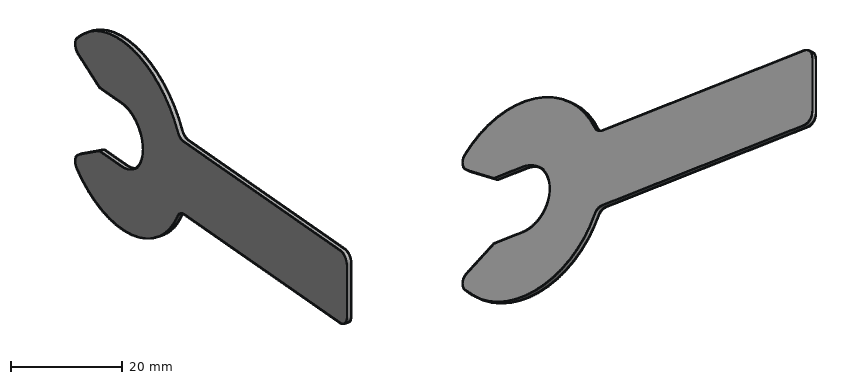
import cadquery as cq
import math

length = 84.7
thickness = 1.0
head_radius = 19.5
handle_width = 15.0
handle_corner_radius = 2.0
neck_radius = 2.0
mouth_radius = 6.5
mouth_flat_length = 6.95
flare_angle = math.radians(30)
tip_radius = 2.0

flare_offset = mouth_radius * math.cos(flare_angle) - mouth_flat_length * math.sin(flare_angle)
tip_across = flare_offset + tip_radius
tip_along = math.sqrt((head_radius - tip_radius) ** 2 - tip_across**2)
tip_center_x = tip_across * math.sin(flare_angle) - tip_along * math.cos(flare_angle)
tip_reach = tip_radius - tip_center_x
handle_end = length - tip_reach


def extrude_profile(profile):
    """Extrude an XZ profile symmetrically about the XZ plane."""
    return profile.extrude(thickness / 2, both=True)


def make_body():
    """Round head joined to a rectangular handle, with a rounded neck and end."""
    head = extrude_profile(cq.Workplane("XZ").circle(head_radius))
    handle = extrude_profile(
        cq.Workplane("XZ").center(handle_end / 2, 0).rect(handle_end, handle_width)
    )
    handle = handle.edges("|Y and >X").fillet(handle_corner_radius)
    body = head.union(handle)
    neck_x = math.sqrt(head_radius**2 - (handle_width / 2) ** 2)
    selection_margin = 0.85
    neck_edges = cq.selectors.BoxSelector(
        (neck_x - selection_margin, -thickness, -handle_width),
        (neck_x + selection_margin, thickness, handle_width),
    )
    return body.edges("|Y").edges(neck_edges).fillet(neck_radius)


def make_mouth():
    """Cutter for the parallel mouth with a round bottom and flared opening."""
    opening_x = -head_radius
    flare_rise = (head_radius - mouth_flat_length) * math.tan(flare_angle)
    opening_half_height = mouth_radius + flare_rise
    return extrude_profile(
        cq.Workplane("XZ")
        .moveTo(opening_x, opening_half_height)
        .lineTo(-mouth_flat_length, mouth_radius)
        .lineTo(0, mouth_radius)
        .threePointArc((mouth_radius, 0), (0, -mouth_radius))
        .lineTo(-mouth_flat_length, -mouth_radius)
        .lineTo(opening_x, -opening_half_height)
        .close()
    )


wrench = make_body().cut(make_mouth())
result = wrench.edges("|Y and <X").fillet(tip_radius)